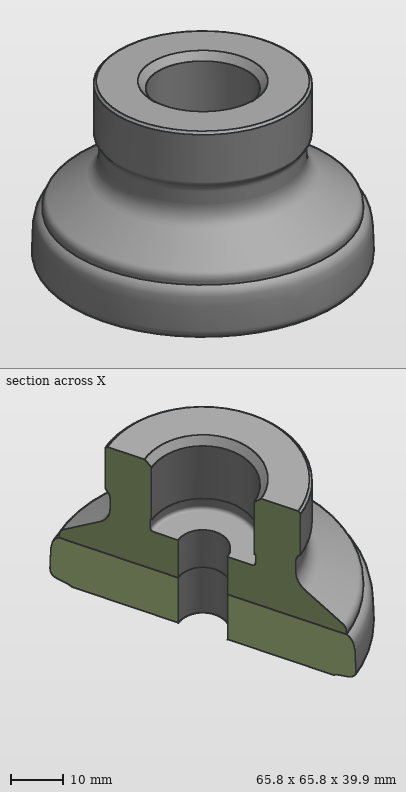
import cadquery as cq
import math

total_height = 39.9
base_radius = 32.9
base_height = 11.9
through_radius = 5.25

foot_radius = 28.1
foot_slope_mid = (30.3, 0.65)
foot_slope_end = (32.0, 1.2)
foot_bend = (32.65, 1.85)
widest_z = 3.3
barrel_top = (32.7, 8.35)
shoulder = (32.05, 10.8)

rim_radius = 30.9
rim_top_z = 12.7
rim_fillet = 2.0
cone_angle = math.radians(56)
neck_radius = 20.0
neck_bottom_z = 23.6
neck_fillet = 4.75
neck_top_z = 26.6
collar_radius = 21.0
collar_lower_round = 1.05
collar_neck_fillet = 2.3
collar_chamfer = 0.5

recess_radius = 11.0
recess_bore_depth = 15.3
undercut_radius = 11.25
undercut_height = 2.9
undercut_floor_fillet = 0.7
mouth_radius = 12.5
mouth_chamfer_depth = 1.5


def arc_travel(radius, angle):
    """Radial and axial travel of an arc that turns by an angle from the vertical."""
    return radius * (1 - math.cos(angle)), radius * math.sin(angle)


def make_base():
    wall_points = [
        foot_slope_mid,
        foot_slope_end,
        foot_bend,
        (base_radius, widest_z),
        barrel_top,
        shoulder,
        (rim_radius, base_height),
    ]
    profile = (
        cq.Workplane("XZ")
        .moveTo(through_radius, 0)
        .lineTo(foot_radius, 0)
        .spline(wall_points, includeCurrent=True)
        .lineTo(through_radius, base_height)
        .close()
    )
    return profile.revolve(360, (0, 0, 0), (0, 1, 0))


def make_knob_blank():
    rim_mid_r, rim_mid_z = arc_travel(rim_fillet, cone_angle / 2)
    rim_end_r, rim_end_z = arc_travel(rim_fillet, cone_angle)
    neck_mid_r, neck_mid_z = arc_travel(neck_fillet, cone_angle / 2)
    neck_end_r, neck_end_z = arc_travel(neck_fillet, cone_angle)
    step = collar_radius - neck_radius
    turn = math.acos(1 - step / (collar_neck_fillet + collar_lower_round))
    hollow_r, hollow_z = arc_travel(collar_neck_fillet, turn)
    round_z = arc_travel(collar_lower_round, turn)[1]
    profile = (
        cq.Workplane("XZ")
        .moveTo(through_radius, base_height)
        .lineTo(rim_radius, base_height)
        .lineTo(rim_radius, rim_top_z)
        .threePointArc(
            (rim_radius - rim_mid_r, rim_top_z + rim_mid_z),
            (rim_radius - rim_end_r, rim_top_z + rim_end_z),
        )
        .lineTo(neck_radius + neck_end_r, neck_bottom_z - neck_end_z)
        .threePointArc(
            (neck_radius + neck_mid_r, neck_bottom_z - neck_mid_z),
            (neck_radius, neck_bottom_z),
        )
        .lineTo(neck_radius, neck_top_z)
        .tangentArcPoint((neck_radius + hollow_r, neck_top_z + hollow_z), relative=False)
        .tangentArcPoint((collar_radius, neck_top_z + hollow_z + round_z), relative=False)
        .lineTo(collar_radius, total_height - collar_chamfer)
        .lineTo(collar_radius - collar_chamfer, total_height)
        .lineTo(through_radius, total_height)
        .close()
    )
    return profile.revolve(360, (0, 0, 0), (0, 1, 0))


def make_recess():
    bore_bottom_z = total_height - recess_bore_depth
    bore = cq.Workplane("XY", origin=(0, 0, bore_bottom_z)).circle(recess_radius).extrude(recess_bore_depth)
    undercut = (
        cq.Workplane("XY", origin=(0, 0, bore_bottom_z - undercut_height))
        .circle(undercut_radius)
        .extrude(undercut_height)
        .faces("<Z")
        .edges()
        .fillet(undercut_floor_fillet)
    )
    mouth = cq.Workplane(
        cq.Solid.makeCone(
            recess_radius,
            mouth_radius,
            mouth_chamfer_depth,
            pnt=cq.Vector(0, 0, total_height - mouth_chamfer_depth),
        )
    )
    return bore.union(undercut).union(mouth)


base = make_base()
knob = make_knob_blank().cut(make_recess())

result = cq.Compound.makeCompound([base.val(), knob.val()])